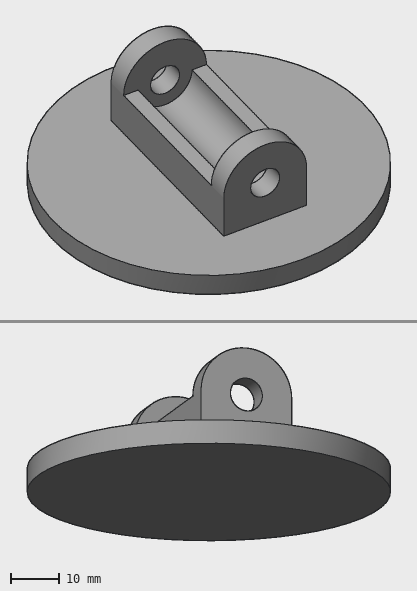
import cadquery as cq

base_diameter = 75.0
base_thickness = 5.0
bracket_length = 45.0
ear_radius = 10.0
ear_thickness = 5.0
pin_hole_diameter = 7.0
groove_diameter = 13.0
block_height = 10.0

bracket_width = 2 * ear_radius
axis_height = base_thickness + block_height
span_between_ears = bracket_length - 2 * ear_thickness


def cylinder_along_x(diameter, length):
    """Cylinder on the pin axis, centred on X = 0."""
    return (
        cq.Workplane("YZ")
        .workplane(offset=-length / 2)
        .center(0, axis_height)
        .circle(diameter / 2)
        .extrude(length)
    )


base = cq.Workplane("XY").circle(base_diameter / 2).extrude(base_thickness)

bracket = (
    cq.Workplane("XY")
    .workplane(offset=base_thickness)
    .rect(bracket_length, bracket_width)
    .extrude(block_height)
    .union(cylinder_along_x(bracket_width, bracket_length))
)

ear_gap = (
    cq.Workplane("XY")
    .workplane(offset=axis_height)
    .rect(span_between_ears, bracket_width)
    .extrude(ear_radius)
)

groove = cylinder_along_x(groove_diameter, span_between_ears)
pin_hole = cylinder_along_x(pin_hole_diameter, bracket_length)

result = base.union(bracket.cut(ear_gap).cut(groove).cut(pin_hole))